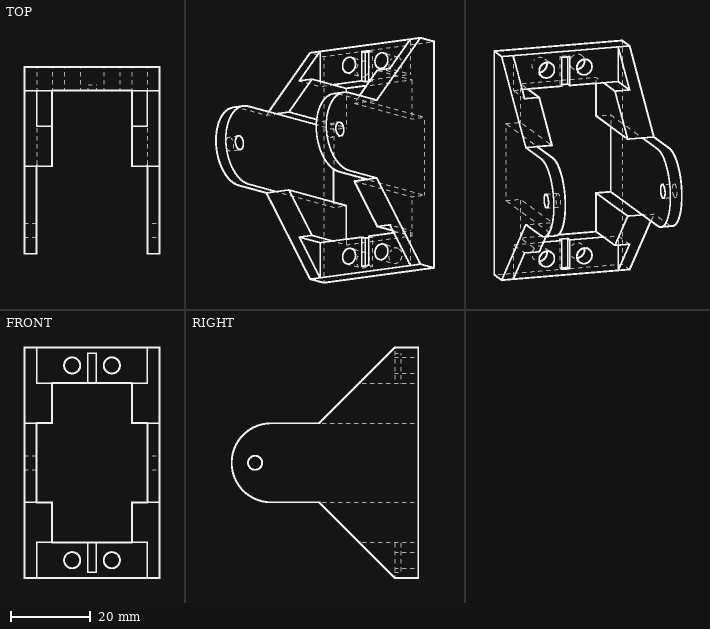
import cadquery as cq

width = 34.0
height = 58.0
wall = 3.1
inner_width = width - 2 * wall

back_edge = 6.0
lug_radius = 10.0
total_depth = 47.0
lug_tip_y = -total_depth
lug_centre_y = lug_tip_y + lug_radius
slope_run = height / 2 - lug_radius
slope_start_y = -back_edge
slope_end_y = slope_start_y - slope_run
pivot_diameter = 3.5
pivot_inset = 5.9

bar_height = 9.0
screw_diameter = 4.0
screw_spacing = 10.0
screw_inset = 4.5
groove_width = 2.2
groove_depth = 1.5
groove_inset = 1.5

block_gap = 20.05


def side_profile():
    """Tapered plate outline with a round lug, extruded across the full width."""
    half = height / 2
    return (
        cq.Workplane("YZ")
        .moveTo(0, -half)
        .lineTo(slope_start_y, -half)
        .lineTo(slope_end_y, -lug_radius)
        .lineTo(lug_centre_y, -lug_radius)
        .threePointArc((lug_tip_y, 0), (lug_centre_y, lug_radius))
        .lineTo(slope_end_y, lug_radius)
        .lineTo(slope_start_y, half)
        .lineTo(0, half)
        .close()
        .extrude(width / 2, both=True)
    )


def through_box(x_size, z_size, depth_start):
    """Centred cutter running from depth_start in front of the back face to the lug tips."""
    return cq.Workplane("XY").box(x_size, total_depth - depth_start, z_size).translate(
        (0, -(total_depth + depth_start) / 2, 0)
    )


def end_bar_cuts(end):
    """Screw holes and groove for the upper (end = 1) or lower (end = -1) bar."""
    screw_z = end * (height / 2 - screw_inset)
    screws = (
        cq.Workplane("XZ")
        .pushPoints([(side * screw_spacing / 2, screw_z) for side in (-1, 1)])
        .circle(screw_diameter / 2)
        .extrude(back_edge)
    )
    groove_length = bar_height - groove_inset
    groove_z = end * (height / 2 - groove_inset - groove_length / 2)
    groove = cq.Workplane("XY").box(groove_width, groove_depth, groove_length).translate(
        (0, slope_start_y + groove_depth / 2, groove_z)
    )
    return screws.union(groove)


body = side_profile()

body = body.cut(through_box(inner_width, 2 * lug_radius, 0))
body = body.cut(through_box(block_gap, height - 2 * bar_height, 0))

bar_clearance = through_box(inner_width, bar_height, back_edge)
for end in (-1, 1):
    bar_centre_z = end * (height - bar_height) / 2
    body = body.cut(bar_clearance.translate((0, 0, bar_centre_z)))
    body = body.cut(end_bar_cuts(end))

pivot = (
    cq.Workplane("YZ")
    .center(lug_tip_y + pivot_inset, 0)
    .circle(pivot_diameter / 2)
    .extrude(width / 2, both=True)
)
result = body.cut(pivot)